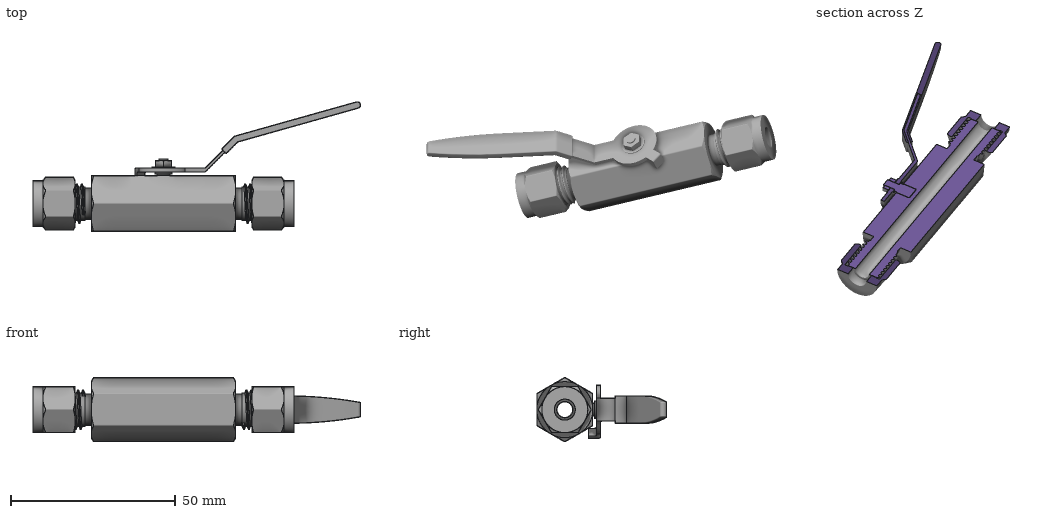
import cadquery as cq
import math

OVERLAP = 0.2

BODY_LENGTH = 44.0
BODY_FLATS = 17.0
BODY_EDGE_FILLET = 0.5
BODY_FACE_RADIUS = 8.53
BODY_CHAMFER_ANGLE = 30.0
FLOW_BORE = 4.8
TUBE_DIAMETER = 6.4
NECK_DIAMETER = 9.6
THREAD_DIAMETER = 12.0
THREAD_CORE_DIAMETER = 10.2
THREAD_PITCH = 1.5
THREAD_CREST = 0.25
THREAD_ROOT = 1.1
THREAD_LEAD_IN = 0.5
THREAD_START_ANGLE = -36.0
NECK_LENGTH = 1.85
THREAD_START = BODY_LENGTH / 2 + NECK_LENGTH

NUT_END = 39.75
NUT_LENGTH = 12.8
NUT_FLATS = 14.0
NUT_COLLAR_LENGTH = 3.0
NUT_OUTER_CHAMFER_RUN = 0.9
NUT_INNER_CHAMFER_RUN = 0.5
NUT_INNER_FACE_RADIUS = 7.1
NUT_EDGE_FILLET = 0.25
NUT_WALL = 3.0
THREAD_CLEARANCE = 0.05
CONNECTOR_END = NUT_END - NUT_WALL

BODY_TOP = BODY_FLATS / 2
PLATE_BOTTOM = 9.6
PLATE_THICKNESS = 1.28
PLATE_TOP = PLATE_BOTTOM + PLATE_THICKNESS
STEM_DIAMETER = 4.0
STEM_SEAT = 4.0
STEM_TIP_DIAMETER = 2.8
STEM_TIP = 13.6
LOWER_WASHER_DIAMETER = 5.3
LOWER_WASHER_THICKNESS = 0.6
UPPER_WASHER_DIAMETER = 7.1
UPPER_WASHER_THICKNESS = 0.25
STEM_NUT_FLATS = 5.0
STEM_NUT_HEIGHT = 1.95
STEM_NUT_CHAMFER = 0.15

DISC_RADIUS = 7.44
BAR_WIDTH = 7.05
BAR_END = 12.7
RISE_ANGLE = 45.0
TAB_REACH = 10.62
TAB_WIDTH = 3.4
TAB_ROOT = DISC_RADIUS - 2.0
TAB_THICKNESS = 0.9
TAB_END = 7.2
TAB_BEND_RADIUS = 0.5
TAB_INNER_RADIUS = 0.5
TAB_DIRECTION = 225.0

GRIP_THICKNESS = 2.0
GRIP_WIDTH = 8.4
GRIP_TIP_WIDTH = 4.4
GRIP_START = 18.37
GRIP_TAPER_START = 37.9
GRIP_ANGLE = 15.7
GRIP_EDGE_FILLET = 0.25
GRIP_BEND_RADIUS = 1.5
GRIP_TIP_X = 60.0
GRIP_TIP_Y = 31.0

RISE_SLOPE = math.tan(math.radians(RISE_ANGLE))
GRIP_SLOPE = math.tan(math.radians(GRIP_ANGLE))
BAR_MID = PLATE_BOTTOM + PLATE_THICKNESS / 2
TIP_CENTRE = (GRIP_TIP_X - GRIP_THICKNESS / 2, GRIP_TIP_Y - GRIP_THICKNESS / 2)
GRIP_AT_ZERO = TIP_CENTRE[1] - GRIP_SLOPE * TIP_CENTRE[0]
RISE_AT_ZERO = BAR_MID - RISE_SLOPE * BAR_END
BEND_X = (GRIP_AT_ZERO - RISE_AT_ZERO) / (RISE_SLOPE - GRIP_SLOPE)


def rise_mid(x):
    return (x, RISE_AT_ZERO + RISE_SLOPE * x)


def grip_mid(x):
    return (x, GRIP_AT_ZERO + GRIP_SLOPE * x)


def offset(point, angle, distance):
    """Point moved by `distance` square to the direction `angle` in degrees (left is positive)."""
    a = math.radians(angle)
    return (point[0] - distance * math.sin(a), point[1] + distance * math.cos(a))


BEND = rise_mid(BEND_X)
BISECTOR_ANGLE = (RISE_ANGLE + GRIP_ANGLE) / 2
MITRE = 1 / math.cos(math.radians((RISE_ANGLE - GRIP_ANGLE) / 2))


def x_axis_hexagon(flats, start, length):
    """Hexagonal bar along X with two flats square to Y."""
    plane = cq.Workplane("YZ").workplane(offset=start).transformed(rotate=(0, 0, 30))
    return plane.polygon(6, flats / math.cos(math.pi / 6)).extrude(length)


def revolve_x(points):
    return cq.Workplane("XY").polyline(points).close().revolve(360, (0, 0, 0), (1, 0, 0))


def y_cylinder(diameter, bottom, top):
    return cq.Workplane("XZ", origin=(0, bottom, 0)).circle(diameter / 2).extrude(bottom - top)


def thread_ridge():
    """Right-hand helical ridge along X, from the neck to the connector end."""
    root_radius = THREAD_CORE_DIAMETER / 2 - OVERLAP
    length = CONNECTOR_END - THREAD_START - THREAD_LEAD_IN - THREAD_ROOT / 2
    helix = cq.Wire.makeHelix(THREAD_PITCH, length, THREAD_CORE_DIAMETER / 2)
    ridge = (
        cq.Workplane("XZ")
        .polyline([
            (root_radius, -THREAD_ROOT / 2),
            (THREAD_DIAMETER / 2, -THREAD_CREST / 2),
            (THREAD_DIAMETER / 2, THREAD_CREST / 2),
            (root_radius, THREAD_ROOT / 2),
        ])
        .close()
        .sweep(cq.Workplane(obj=helix), isFrenet=True)
    )
    ridge = ridge.rotate((0, 0, 0), (0, 1, 0), 90).rotate((0, 0, 0), (1, 0, 0), THREAD_START_ANGLE)
    return ridge.translate((THREAD_START + THREAD_LEAD_IN, 0, 0))


def make_body():
    half = BODY_LENGTH / 2
    corner_radius = BODY_FLATS / 2 / math.cos(math.pi / 6)
    chamfer_run = (corner_radius - BODY_FACE_RADIUS) * math.tan(math.radians(BODY_CHAMFER_ANGLE))
    shoulder = half - chamfer_run
    turned = revolve_x([
        (-half, 0),
        (-half, BODY_FACE_RADIUS),
        (-shoulder, corner_radius),
        (shoulder, corner_radius),
        (half, BODY_FACE_RADIUS),
        (half, 0),
    ])
    hexagon = x_axis_hexagon(BODY_FLATS, -half, BODY_LENGTH).edges("|X").fillet(BODY_EDGE_FILLET)
    body = hexagon.intersect(turned)
    connector = revolve_x([
        (half - OVERLAP, 0),
        (half - OVERLAP, NECK_DIAMETER / 2),
        (THREAD_START, NECK_DIAMETER / 2),
        (THREAD_START, THREAD_CORE_DIAMETER / 2),
        (CONNECTOR_END, THREAD_CORE_DIAMETER / 2),
        (CONNECTOR_END, 0),
    ]).union(thread_ridge())
    for turn in (0, 180):
        body = body.union(connector.rotate((0, 0, 0), (0, 1, 0), turn))
    bore = cq.Workplane("YZ").workplane(offset=-CONNECTOR_END).circle(FLOW_BORE / 2)
    bore = bore.extrude(2 * CONNECTOR_END)
    return body.cut(bore).cut(y_cylinder(STEM_DIAMETER, STEM_SEAT, BODY_TOP))


def make_nut():
    """Nut at the +X end: hexagon with flats square to Z, turned collar, wall and cavity."""
    inner = NUT_END - NUT_LENGTH
    collar = NUT_END - NUT_COLLAR_LENGTH
    corner_radius = NUT_FLATS / 2 / math.cos(math.pi / 6)
    turned = revolve_x([
        (inner, 0),
        (inner, NUT_INNER_FACE_RADIUS),
        (inner + NUT_INNER_CHAMFER_RUN, corner_radius),
        (collar - NUT_OUTER_CHAMFER_RUN, corner_radius),
        (collar, NUT_FLATS / 2),
        (NUT_END, NUT_FLATS / 2),
        (NUT_END, 0),
    ])
    hexagon = x_axis_hexagon(NUT_FLATS, inner, NUT_LENGTH).rotate((0, 0, 0), (1, 0, 0), 90)
    nut = hexagon.edges("|X").fillet(NUT_EDGE_FILLET).intersect(turned)
    cavity = cq.Workplane("YZ").workplane(offset=inner).circle(THREAD_DIAMETER / 2 + THREAD_CLEARANCE)
    bore = cq.Workplane("YZ").workplane(offset=inner).circle(TUBE_DIAMETER / 2)
    return nut.cut(cavity.extrude(CONNECTOR_END - inner)).cut(bore.extrude(NUT_LENGTH))


def make_stem():
    shank = y_cylinder(STEM_DIAMETER, STEM_SEAT, PLATE_BOTTOM)
    return shank.union(y_cylinder(STEM_TIP_DIAMETER, PLATE_BOTTOM, STEM_TIP))


def make_washer(diameter, hole, bottom, top):
    return y_cylinder(diameter, bottom, top).cut(y_cylinder(hole, bottom, top))


def make_stem_nut():
    bottom = PLATE_TOP + UPPER_WASHER_THICKNESS
    corners = STEM_NUT_FLATS / math.cos(math.pi / 6)
    nut = (
        cq.Workplane("XZ", origin=(0, bottom, 0))
        .transformed(rotate=(0, 0, 30))
        .polygon(6, corners)
        .extrude(-STEM_NUT_HEIGHT)
    )
    top = bottom + STEM_NUT_HEIGHT
    blank = y_cylinder(corners, bottom, top).faces(">Y").chamfer(STEM_NUT_CHAMFER)
    return nut.intersect(blank).cut(y_cylinder(STEM_TIP_DIAMETER, bottom, top))


def stop_tab():
    """L-shaped strip from the disc, bent down past the corner of the body."""
    inner = TAB_REACH - TAB_THICKNESS
    strip = (
        cq.Workplane("XY")
        .moveTo(TAB_ROOT, PLATE_BOTTOM)
        .lineTo(inner - TAB_INNER_RADIUS, PLATE_BOTTOM)
        .radiusArc((inner, PLATE_BOTTOM - TAB_INNER_RADIUS), TAB_INNER_RADIUS)
        .lineTo(inner, TAB_END)
        .lineTo(TAB_REACH, TAB_END)
        .lineTo(TAB_REACH, PLATE_TOP - TAB_BEND_RADIUS)
        .radiusArc((TAB_REACH - TAB_BEND_RADIUS, PLATE_TOP), -TAB_BEND_RADIUS)
        .lineTo(TAB_ROOT, PLATE_TOP)
        .close()
        .extrude(TAB_WIDTH / 2, both=True)
    )
    return strip.rotate((0, 0, 0), (0, 1, 0), -TAB_DIRECTION)


def make_lever():
    """The bar keeps the same height across both bends, so its sloped parts are thinner."""
    half = PLATE_THICKNESS / 2
    mid_points = [(0, BAR_MID), (BAR_END, BAR_MID), BEND, grip_mid(GRIP_TAPER_START)]
    lower = [(x, y - half) for x, y in mid_points]
    upper = [(x, y + half) for x, y in reversed(mid_points)]
    bar = cq.Workplane("XY").polyline(lower + upper).close().extrude(BAR_WIDTH / 2, both=True)
    disc = y_cylinder(2 * DISC_RADIUS, PLATE_BOTTOM, PLATE_TOP)
    return bar.union(disc).union(stop_tab()).cut(y_cylinder(STEM_TIP_DIAMETER, PLATE_BOTTOM, PLATE_TOP))


def make_grip(lever):
    half = GRIP_THICKNESS / 2
    start = rise_mid(GRIP_START)
    nose = (
        TIP_CENTRE[0] + half * math.cos(math.radians(GRIP_ANGLE)),
        TIP_CENTRE[1] + half * math.sin(math.radians(GRIP_ANGLE)),
    )
    sleeve = (
        cq.Workplane("XY")
        .moveTo(*offset(start, RISE_ANGLE, -half))
        .lineTo(*offset(BEND, BISECTOR_ANGLE, -half * MITRE))
        .lineTo(*offset(TIP_CENTRE, GRIP_ANGLE, -half))
        .threePointArc(nose, offset(TIP_CENTRE, GRIP_ANGLE, half))
        .lineTo(*offset(BEND, BISECTOR_ANGLE, half * MITRE))
        .lineTo(*offset(start, RISE_ANGLE, half))
        .close()
        .extrude(GRIP_WIDTH / 2, both=True)
    )
    outer_bend = offset(BEND, BISECTOR_ANGLE, half * MITRE)
    sleeve = sleeve.edges(cq.selectors.NearestToPointSelector((*outer_bend, 0))).fillet(GRIP_BEND_RADIUS)
    taper_run = GRIP_TIP_X - GRIP_TAPER_START
    taper_drop = (GRIP_WIDTH - GRIP_TIP_WIDTH) / 2
    taper_radius = (taper_run**2 + taper_drop**2) / (2 * taper_drop)
    back = GRIP_START - GRIP_THICKNESS
    outline = (
        cq.Workplane("XZ")
        .moveTo(back, -GRIP_WIDTH / 2)
        .lineTo(GRIP_TAPER_START, -GRIP_WIDTH / 2)
        .radiusArc((GRIP_TIP_X, -GRIP_TIP_WIDTH / 2), -taper_radius)
        .lineTo(GRIP_TIP_X, GRIP_TIP_WIDTH / 2)
        .radiusArc((GRIP_TAPER_START, GRIP_WIDTH / 2), -taper_radius)
        .lineTo(back, GRIP_WIDTH / 2)
        .close()
        .extrude(-GRIP_TIP_Y - GRIP_THICKNESS)
    )
    sleeve = sleeve.intersect(outline)
    grip_normal = cq.Vector(*offset((0, 0), GRIP_ANGLE, 1))
    rims = sleeve.edges("not |Z").edges(-cq.selectors.ParallelDirSelector(grip_normal))
    rims = rims.add(sleeve.faces("<(1, 1, 0)").edges("|Z"))
    return rims.fillet(GRIP_EDGE_FILLET).cut(lever)


body = make_body()
nut = make_nut()
nuts = [nut.rotate((0, 0, 0), (0, 1, 0), turn) for turn in (0, 180)]
stem = make_stem()
lower_washer = make_washer(
    LOWER_WASHER_DIAMETER, STEM_DIAMETER, PLATE_BOTTOM - LOWER_WASHER_THICKNESS, PLATE_BOTTOM
)
upper_washer = make_washer(
    UPPER_WASHER_DIAMETER, STEM_TIP_DIAMETER, PLATE_TOP, PLATE_TOP + UPPER_WASHER_THICKNESS
)
stem_nut = make_stem_nut()
lever = make_lever()
grip = make_grip(lever)

result = cq.Compound.makeCompound([
    body.val(),
    *[n.val() for n in nuts],
    stem.val(),
    lower_washer.val(),
    upper_washer.val(),
    stem_nut.val(),
    lever.val(),
    grip.val(),
])